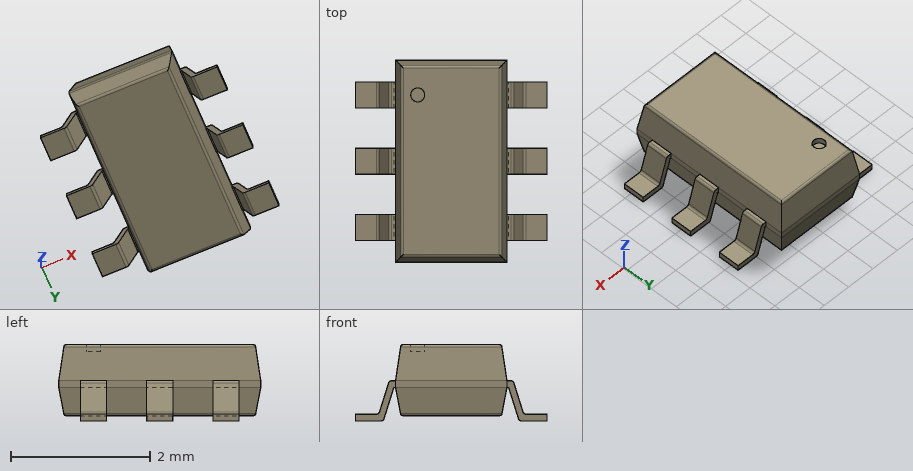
import cadquery as cq
import math

body_length = 2.9
body_width = 1.6
body_top = 1.1
body_bottom = 0.075
face_inset = 0.078
rim_radius = 0.04

lead_span = 2.75
lead_thickness = 0.1
lead_width = 0.377
lead_pitch = 0.95
leads_per_side = 3
lead_top = 0.58
foot_length = 0.334
lead_lean = 17.5
bend_radius = 0.045

mark_diameter = 0.2
mark_depth = 0.1
mark_edge_offset = 0.32

shoulder_bottom = lead_top - lead_thickness
last_lead_y = lead_pitch * (leads_per_side - 1) / 2


def make_body_half(belt_z, face_z):
    """Drafted half of the body, from its belt to its smaller outer face."""
    return (
        cq.Workplane("XY", origin=(0, 0, belt_z))
        .rect(body_width, body_length)
        .workplane(offset=face_z - belt_z)
        .rect(body_width - 2 * face_inset, body_length - 2 * face_inset)
        .loft(ruled=True)
    )


def make_body():
    """Drafted block with a straight belt, rounded rims and a pin 1 mark."""
    belt = (
        cq.Workplane("XY", origin=(0, 0, shoulder_bottom))
        .rect(body_width, body_length)
        .extrude(lead_thickness)
    )
    upper_half = make_body_half(lead_top, body_top)
    lower_half = make_body_half(shoulder_bottom, body_bottom)
    block = belt.union(upper_half).union(lower_half)
    block = block.faces("<Z or >Z").edges().fillet(rim_radius)

    mark = (
        cq.Workplane("XY", origin=(mark_edge_offset - body_width / 2, last_lead_y, body_top))
        .circle(mark_diameter / 2)
        .extrude(-mark_depth)
    )
    return block.cut(mark)


def make_lead():
    """Lead on the +X side, centred on Y = 0: foot, leaning leg and shoulder."""
    lean_slope = math.tan(math.radians(lead_lean))
    root_x = body_width / 2
    tip_x = lead_span / 2

    foot_upper_x = tip_x - foot_length
    shoulder_upper_x = foot_upper_x - shoulder_bottom * lean_slope
    foot_lower_x = foot_upper_x + lead_thickness * lean_slope - lead_thickness
    shoulder_lower_x = foot_lower_x - shoulder_bottom * lean_slope

    shoulder_bend = (shoulder_upper_x, lead_top)
    foot_inner_bend = (foot_upper_x, lead_thickness)
    foot_outer_bend = (foot_lower_x, 0)
    outline = [
        (root_x, lead_top),
        shoulder_bend,
        foot_inner_bend,
        (tip_x, lead_thickness),
        (tip_x, 0),
        foot_outer_bend,
        (shoulder_lower_x, shoulder_bottom),
        (root_x, shoulder_bottom),
    ]
    lead = cq.Workplane("XZ").polyline(outline).close().extrude(lead_width / 2, both=True)

    for x, z in (shoulder_bend, foot_inner_bend, foot_outer_bend):
        bend_edge = cq.selectors.NearestToPointSelector((x, 0, z))
        lead = lead.edges(bend_edge).fillet(bend_radius)
    return lead


def make_leads():
    """Rows of leads along both long sides of the body."""
    leads = []
    for side_angle in (0, 180):
        for index in range(leads_per_side):
            lead_y = index * lead_pitch - last_lead_y
            lead = make_lead().rotate((0, 0, 0), (0, 0, 1), side_angle).translate((0, lead_y, 0))
            leads.append(lead)
    return leads


body = make_body()
leads = make_leads()

result = cq.Compound.makeCompound([body.val(), *[lead.val() for lead in leads]])